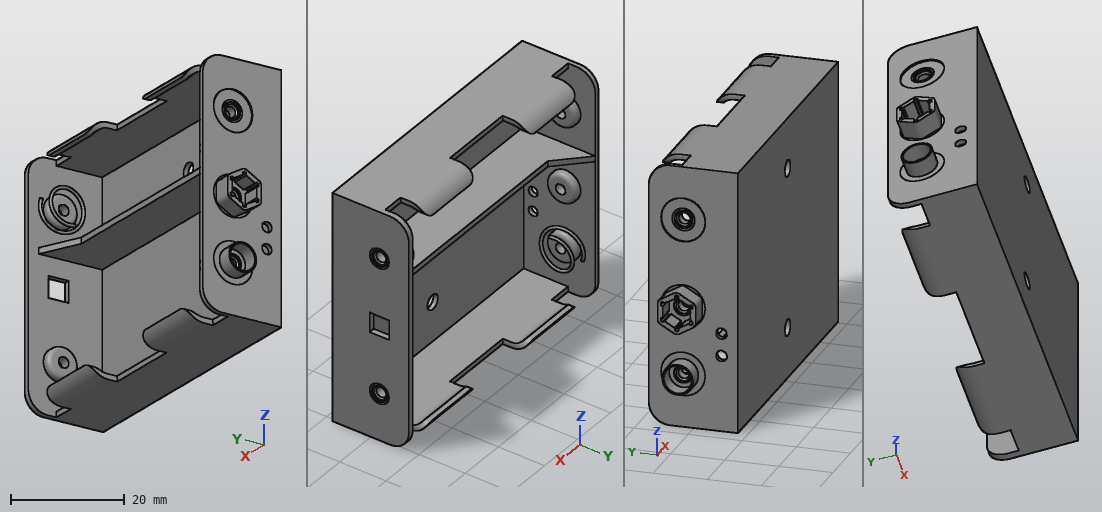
import cadquery as cq
import math

LENGTH = 57.5
DEPTH = 16.5
HEIGHT = 49.0
SIDE_WALL = 1.1
FLOOR = 1.0
LEFT_WALL = 1.0
RIGHT_WALL = 1.25
CORNER_RADIUS = 4.0

RIM_LEVEL = 10.6
LIP_LENGTH = 15.0
LIP_END_GAP = 5.8
LIP_EDGE_Z = 22.0
LIP_CORNER_RADIUS = 2.0

CELL_Y = 10.15
CELL_Z = 14.5
BAY_WIDTH = 15.0
DIVIDER = 1.2
DIVIDER_Z = CELL_Z - BAY_WIDTH / 2 - DIVIDER / 2
LEFT_GUSSET_LENGTH = 6.1
RIGHT_GUSSET_LENGTH = 8.0
RIGHT_GUSSET_LEVEL = 14.3

SCREW_HOLE = 3.1
SCREW_X = 28.5
SCREW_Z = 15.0
INDICATOR_HOLE = 2.0
INDICATOR_Y = 3.05
INDICATOR_Z = (-6.1, -10.3)
WINDOW = 4.2

SNAP_PITCH = 12.7
ROUND_SNAP_Z = -CELL_Z
HEX_SNAP_Z = ROUND_SNAP_Z + SNAP_PITCH
SEAT_DIAMETER = 8.15
SEAT_DEPTH = 0.3
SHANK = 4.2
BORE = 2.1
BORE_MOUTH = 3.4
BORE_MOUTH_DEPTH = 0.25
BORE_CONE = 2.75
BUTTON_DIAMETER = 6.4
BUTTON_HEIGHT = 1.65
BUTTON_FILLET = 0.9
HEX_PROJECTION = 3.69
HEX_ACROSS_FLATS = 7.05
HEX_CORNER_RADIUS = 1.0
ROUND_PROJECTION = 3.1
ROUND_DIAMETER = 5.7
SOCKET = 5.1
RELIEF_ACROSS_FLATS = 5.9
RELIEF_WIDTH = 0.7

WIRE = 0.6
COIL_BASE_RADIUS = 4.2
COIL_TIP_RADIUS = 3.7
COIL_PITCH = 2.85
COIL_TURNS = 1.35
COIL_HEIGHT = COIL_PITCH * COIL_TURNS
COIL_START_ANGLE = -25.0


def x_cylinder(diameter, x_start, x_end, z, y=CELL_Y):
    """Round bar along X between two X positions."""
    plane = cq.Workplane("YZ", origin=(x_start, y, z))
    return plane.circle(diameter / 2).extrude(x_end - x_start)


def tray_section(inset, floor):
    """Rectangle in the YZ plane, with its two upper corners rounded, set in from the sides."""
    half = HEIGHT / 2 - inset
    top = DEPTH - inset
    radius = CORNER_RADIUS - inset
    diagonal = radius * (1 - math.sqrt(0.5))
    return (
        cq.Workplane("YZ")
        .moveTo(floor, -half)
        .lineTo(top - radius, -half)
        .threePointArc((top - diagonal, -half + diagonal), (top, -half + radius))
        .lineTo(top, half - radius)
        .threePointArc((top - diagonal, half - diagonal), (top - radius, half))
        .lineTo(floor, half)
        .close()
    )


def upper_opening():
    """Space removed above the rim: the full width, less the four lips."""
    inner_length = LENGTH - LEFT_WALL - RIGHT_WALL
    opening = cq.Workplane("XY").box(inner_length, DEPTH, HEIGHT, centered=(False, False, True))
    opening = opening.translate((LEFT_WALL, RIM_LEVEL, 0))
    lip_height = HEIGHT / 2 - LIP_EDGE_Z
    for x_start in (LIP_END_GAP, LENGTH - LIP_END_GAP - LIP_LENGTH):
        lip = (
            cq.Workplane("XY")
            .box(LIP_LENGTH, DEPTH, lip_height, centered=False)
            .edges("|Y and <Z")
            .fillet(LIP_CORNER_RADIUS)
            .translate((x_start, RIM_LEVEL, LIP_EDGE_Z))
        )
        opening = opening.cut(lip).cut(lip.mirror("XY"))
    return opening


def make_divider():
    """Wall beside the upper cell, which rises in gussets to the end walls."""
    left = LEFT_WALL / 2
    right = LENGTH - RIGHT_WALL / 2
    outline = [
        (left, FLOOR / 2),
        (left, DEPTH),
        (LEFT_WALL, DEPTH),
        (LEFT_WALL + LEFT_GUSSET_LENGTH, RIM_LEVEL),
        (LENGTH - RIGHT_WALL - RIGHT_GUSSET_LENGTH, RIM_LEVEL),
        (LENGTH - RIGHT_WALL, RIGHT_GUSSET_LEVEL),
        (right, RIGHT_GUSSET_LEVEL),
        (right, FLOOR / 2),
    ]
    plane = cq.Workplane("XY", origin=(0, 0, DIVIDER_Z))
    return plane.polyline(outline).close().extrude(DIVIDER / 2, both=True)


def make_housing():
    body = tray_section(0, 0).extrude(LENGTH)
    cavity = tray_section(SIDE_WALL, FLOOR).extrude(LENGTH - LEFT_WALL - RIGHT_WALL)
    body = body.cut(cavity.translate((LEFT_WALL, 0, 0))).cut(upper_opening()).union(make_divider())
    for z in (-SCREW_Z, SCREW_Z):
        plane = cq.Workplane("XZ", origin=(SCREW_X, 0, z))
        body = body.cut(plane.circle(SCREW_HOLE / 2).extrude(-FLOOR))
    for z in (CELL_Z, HEX_SNAP_Z, ROUND_SNAP_Z):
        body = body.cut(x_cylinder(SEAT_DIAMETER, 0, SEAT_DEPTH, z))
        body = body.cut(x_cylinder(SHANK, 0, LEFT_WALL, z))
    for z in INDICATOR_Z:
        body = body.cut(x_cylinder(INDICATOR_HOLE, 0, LEFT_WALL, z, INDICATOR_Y))
    for z in (-CELL_Z, CELL_Z):
        body = body.cut(x_cylinder(SHANK, LENGTH - RIGHT_WALL, LENGTH, z))
    window = cq.Workplane("XY").box(RIGHT_WALL, WINDOW, WINDOW)
    return body.cut(window.translate((LENGTH - RIGHT_WALL / 2, CELL_Y, 0)))


def rivet_blank(shank_length, z):
    """Shank that starts at X = 0, with a rounded button on its far end."""
    end = shank_length + BUTTON_HEIGHT
    button = x_cylinder(BUTTON_DIAMETER, shank_length, end, z).faces(">X").edges().fillet(BUTTON_FILLET)
    return x_cylinder(SHANK, 0, shank_length, z).union(button)


def bore_cutter(shank_length, z):
    """Bore along a rivet, with a flat-bottomed mouth and a short cone at X = 0."""
    bore = x_cylinder(BORE, 0, shank_length + BUTTON_HEIGHT, z)
    mouth = x_cylinder(BORE_MOUTH, 0, BORE_MOUTH_DEPTH, z)
    cone_base = cq.Vector(BORE_MOUTH_DEPTH, CELL_Y, z)
    cone_depth = (BORE_CONE - BORE) / 2
    cone = cq.Solid.makeCone(BORE_CONE / 2, BORE / 2, cone_depth, cone_base, cq.Vector(1, 0, 0))
    return bore.union(mouth).union(cq.Workplane(cone))


def make_rivet(shank_length, z):
    return rivet_blank(shank_length, z).cut(bore_cutter(shank_length, z))


def make_snap(stud, socket, z):
    """Snap terminal: flange in its seat, hollow stud outside and button inside the left wall."""
    flange = x_cylinder(SEAT_DIAMETER, 0, SEAT_DEPTH, z)
    body = rivet_blank(LEFT_WALL, z).union(flange).union(stud)
    return body.cut(socket).cut(bore_cutter(LEFT_WALL, z))


def x_hexagon(across_flats, length, z):
    """Hexagonal bar from X = 0 toward -X, with two flats facing along Y."""
    across_corners = across_flats / math.cos(math.pi / 6)
    plane = cq.Workplane("YZ", origin=(0, CELL_Y, z)).transformed(rotate=(0, 0, 90))
    return plane.polygon(6, across_corners).extrude(-length)


def corner_reliefs():
    """Grooves along the six corners of the hexagonal socket: three crossed slots in a hexagon."""
    slots = cq.Workplane("YZ", origin=(0, CELL_Y, HEX_SNAP_Z)).rect(RELIEF_WIDTH, HEX_ACROSS_FLATS)
    slots = slots.extrude(-HEX_PROJECTION)
    axis_start = (0, CELL_Y, HEX_SNAP_Z)
    axis_end = (1, CELL_Y, HEX_SNAP_Z)
    crossed = slots
    for angle in (60, 120):
        crossed = crossed.union(slots.rotate(axis_start, axis_end, angle))
    return crossed.intersect(x_hexagon(RELIEF_ACROSS_FLATS, HEX_PROJECTION, HEX_SNAP_Z))


def make_hex_snap():
    stud = x_hexagon(HEX_ACROSS_FLATS, HEX_PROJECTION, HEX_SNAP_Z).edges("|X").fillet(HEX_CORNER_RADIUS)
    socket = x_hexagon(SOCKET, HEX_PROJECTION, HEX_SNAP_Z).union(corner_reliefs())
    return make_snap(stud, socket, HEX_SNAP_Z)


def make_round_snap():
    stud = x_cylinder(ROUND_DIAMETER, -ROUND_PROJECTION, 0, ROUND_SNAP_Z)
    socket = x_cylinder(SOCKET, -ROUND_PROJECTION, 0, ROUND_SNAP_Z)
    return make_snap(stud, socket, ROUND_SNAP_Z)


def make_spring():
    """Conical coil that stands on X = 0 and narrows toward +X about the X axis."""
    taper = math.degrees(math.atan2(COIL_TIP_RADIUS - COIL_BASE_RADIUS, COIL_HEIGHT))
    helix = cq.Wire.makeHelix(COIL_PITCH, COIL_HEIGHT, COIL_BASE_RADIUS, angle=taper)
    section = cq.Workplane("XZ", origin=(COIL_BASE_RADIUS, 0, 0)).circle(WIRE / 2)
    coil = section.sweep(helix, isFrenet=True)
    standing = coil.rotate((0, 0, 0), (0, 1, 0), 90)
    standing = standing.rotate((0, 0, 0), (1, 0, 0), 90 + COIL_START_ANGLE)
    return standing.translate((-standing.val().BoundingBox().xmin, 0, 0))


housing = make_housing()
hex_snap = make_hex_snap()
round_snap = make_round_snap()
left_rivet = make_rivet(LEFT_WALL - SEAT_DEPTH, CELL_Z).translate((SEAT_DEPTH, 0, 0))

right_rivets = []
for z in (-CELL_Z, CELL_Z):
    rivet = make_rivet(RIGHT_WALL, z).mirror("YZ").translate((LENGTH, 0, 0))
    right_rivets.append(rivet.val())

left_spring = make_spring().translate((LEFT_WALL, CELL_Y, -CELL_Z))
right_spring = make_spring().rotate((0, 0, 0), (0, 1, 0), 180)
right_spring = right_spring.translate((LENGTH - RIGHT_WALL, CELL_Y, CELL_Z))

result = cq.Compound.makeCompound(
    [
        housing.val(),
        hex_snap.val(),
        round_snap.val(),
        left_rivet.val(),
        *right_rivets,
        left_spring.val(),
        right_spring.val(),
    ]
)